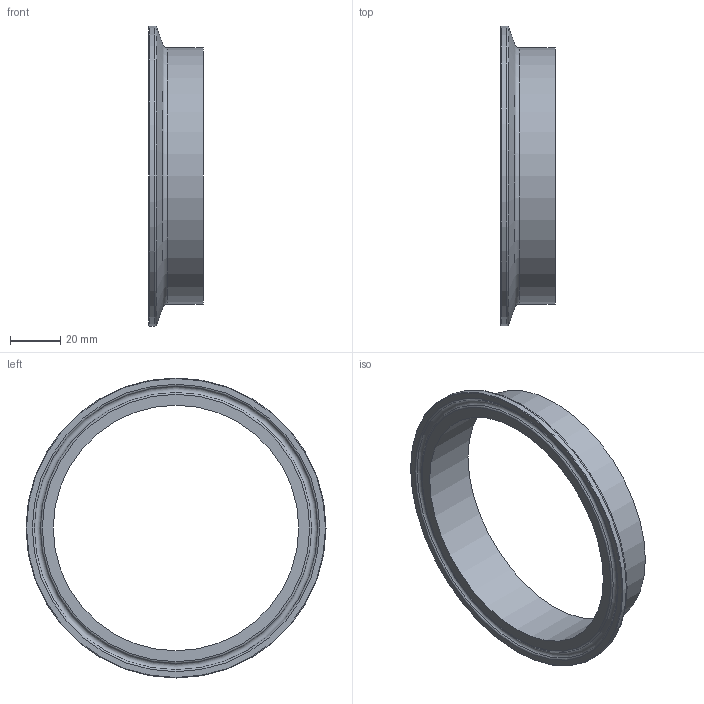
import cadquery as cq
import math

length = 21.5
tube_outer_radius = 101.6 / 2
bore_radius = 97.4 / 2
flange_radius = 119.0 / 2
rim_thickness = 2.85
rim_fillet = 1.0
face_fillet = 0.2
neck_fillet = 2.0
clamp_angle = math.radians(20)

groove_mean_radius = 110.0 / 2
groove_bottom_radius = 1.35
groove_lip_radius = 0.82
groove_wall_angle = math.radians(67)


def on_arc(center, radius, angle):
    """Point (x, r) on an arc, with the angle measured from +X towards +r."""
    x, r = center
    return x + radius * math.cos(angle), r + radius * math.sin(angle)


def make_ferrule():
    """Tube with a tapered clamp flange, revolved about X; profile points are (x, r)."""
    face_center = (face_fillet, flange_radius - face_fillet)
    face_middle = on_arc(face_center, face_fillet, 3 * math.pi / 4)

    rim_end_x = rim_thickness - rim_fillet * math.tan((math.pi / 2 - clamp_angle) / 2)
    rim_center = (rim_end_x, flange_radius - rim_fillet)
    rim_middle = on_arc(rim_center, rim_fillet, (math.pi / 2 + clamp_angle) / 2)
    cone_start = on_arc(rim_center, rim_fillet, clamp_angle)

    neck_center_r = tube_outer_radius + neck_fillet
    cone_end_r = neck_center_r - neck_fillet * math.sin(clamp_angle)
    cone_end_x = cone_start[0] + (cone_start[1] - cone_end_r) * math.tan(clamp_angle)
    neck_center = (cone_end_x + neck_fillet * math.cos(clamp_angle), neck_center_r)
    neck_middle = on_arc(neck_center, neck_fillet, math.pi + (math.pi / 2 + clamp_angle) / 2)

    profile = (
        cq.Workplane("XZ")
        .moveTo(0, bore_radius)
        .lineTo(0, face_center[1])
        .threePointArc(face_middle, (face_center[0], flange_radius))
        .lineTo(rim_end_x, flange_radius)
        .threePointArc(rim_middle, cone_start)
        .lineTo(cone_end_x, cone_end_r)
        .threePointArc(neck_middle, (neck_center[0], tube_outer_radius))
        .lineTo(length, tube_outer_radius)
        .lineTo(length, bore_radius)
        .close()
    )
    return profile.revolve(360, (0, 0), (1, 0))


def make_groove():
    """Ring-shaped cutter: round bottom arc joined tangentially to two lip arcs."""
    arc_span = groove_bottom_radius + groove_lip_radius
    half_width = arc_span * math.sin(groove_wall_angle)
    bottom_center_x = groove_lip_radius - arc_span * math.cos(groove_wall_angle)
    bottom_center = (bottom_center_x, groove_mean_radius)
    inner_lip_center = (groove_lip_radius, groove_mean_radius - half_width)
    outer_lip_center = (groove_lip_radius, groove_mean_radius + half_width)
    half_angle = groove_wall_angle / 2

    profile = (
        cq.Workplane("XZ")
        .moveTo(0, inner_lip_center[1])
        .threePointArc(
            on_arc(inner_lip_center, groove_lip_radius, math.pi - half_angle),
            on_arc(inner_lip_center, groove_lip_radius, math.pi - groove_wall_angle),
        )
        .threePointArc(
            on_arc(bottom_center, groove_bottom_radius, 0),
            on_arc(bottom_center, groove_bottom_radius, groove_wall_angle),
        )
        .threePointArc(
            on_arc(outer_lip_center, groove_lip_radius, math.pi + half_angle),
            (0, outer_lip_center[1]),
        )
        .close()
    )
    return profile.revolve(360, (0, 0), (1, 0))


result = make_ferrule().cut(make_groove())